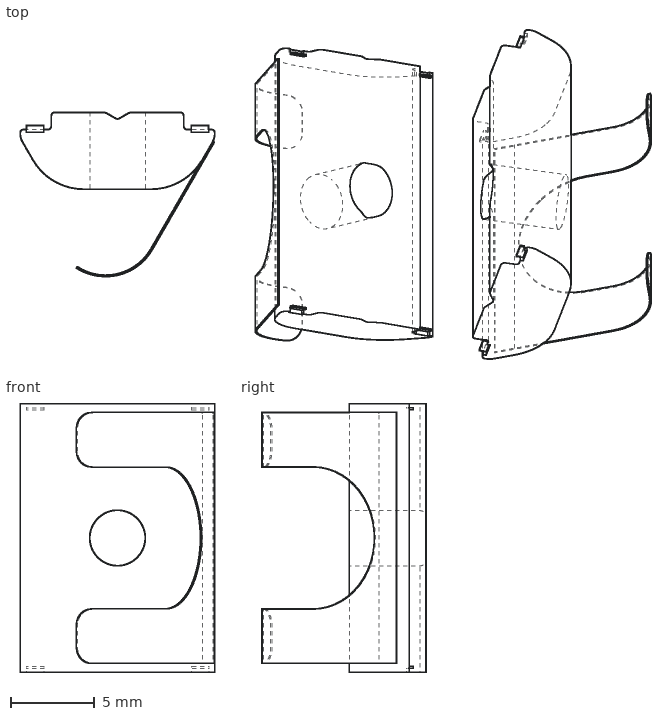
import cadquery as cq
import math

LENGTH = 16.0
WIDTH = 11.6
HALF_WIDTH = WIDTH / 2
DEPTH = 4.6
FLAT_HALF_WIDTH = 2.0
FLANK_ANGLE = math.radians(60)
FLANK_ARC_RADIUS = 3.52
EDGE_RADIUS = 0.2
FLANK_EDGE_RADIUS = 1.02

RIB_HALF_WIDTH = 3.95
SHOULDER_Y = -1.02
RIB_EDGE_RADIUS = 0.24
RIB_ROOT_RADIUS = 0.2
GROOVE_HALF_WIDTH = 0.74
GROOVE_DEPTH = GROOVE_HALF_WIDTH * math.tan(math.radians(30))
GROOVE_EDGE_RADIUS = 0.48
GROOVE_ROOT_RADIUS = 0.24

HOLE_DIAMETER = 3.3

TAB_INNER_X = 4.38
TAB_WIDTH = 1.04
TAB_BACK_Y = -0.78
TAB_HEIGHT = 0.42
TAB_THICKNESS = 0.1
TAB_END_GAP = 0.25

SHEET = 0.1
SPRING_MARGIN = 0.53
ARM_WIDTH = 3.25
SPRING_TOP_Y = -1.75
SPRING_BOTTOM_Y = -9.8
CURL_RADIUS = 3.2
CURL_TIP_ANGLE = math.radians(237)
ARM_TIP_RADIUS = 1.0
GAP_START_DROP = 0.24

DOWN = cq.Vector(-math.cos(FLANK_ANGLE), -math.sin(FLANK_ANGLE))
OUT = cq.Vector(math.sin(FLANK_ANGLE), -math.cos(FLANK_ANGLE))

FLANK_END = cq.Vector(
    FLAT_HALF_WIDTH + FLANK_ARC_RADIUS * math.sin(FLANK_ANGLE),
    -DEPTH + FLANK_ARC_RADIUS * (1 - math.cos(FLANK_ANGLE)),
)


def extrude_full(outline, height):
    return outline.extrude(height / 2, both=True)


def flank_at_y(y):
    """Point on the extended +X flank at the given Y."""
    return FLANK_END + DOWN * ((FLANK_END.y - y) / math.sin(FLANK_ANGLE))


def flank_at_x(x):
    """Point on the extended +X flank at the given X."""
    return FLANK_END + DOWN * ((FLANK_END.x - x) / math.cos(FLANK_ANGLE))


def fillet_upright(body, x, y, radius):
    """Round the upright edge at (x, y) and its mirror image across X = 0."""
    for side in sorted({x, -x}):
        picker = cq.selectors.BoxSelector(
            (side - 0.02, y - 0.02, -LENGTH), (side + 0.02, y + 0.02, LENGTH)
        )
        body = body.edges("|Z").edges(picker).fillet(radius)
    return body


def make_block():
    corner = flank_at_x(HALF_WIDTH)
    half_arc = FLANK_ANGLE / 2
    arc_mid_x = FLAT_HALF_WIDTH + FLANK_ARC_RADIUS * math.sin(half_arc)
    arc_mid_y = -DEPTH + FLANK_ARC_RADIUS * (1 - math.cos(half_arc))
    outline = (
        cq.Workplane("XY")
        .moveTo(0, -GROOVE_DEPTH)
        .lineTo(GROOVE_HALF_WIDTH, 0)
        .lineTo(RIB_HALF_WIDTH, 0)
        .lineTo(RIB_HALF_WIDTH, SHOULDER_Y)
        .lineTo(HALF_WIDTH, SHOULDER_Y)
        .lineTo(corner.x, corner.y)
        .lineTo(FLANK_END.x, FLANK_END.y)
        .threePointArc((arc_mid_x, arc_mid_y), (FLAT_HALF_WIDTH, -DEPTH))
        .lineTo(0, -DEPTH)
        .mirrorY()
    )
    body = extrude_full(outline, LENGTH)
    rounded_edges = [
        (0, -GROOVE_DEPTH, GROOVE_ROOT_RADIUS),
        (GROOVE_HALF_WIDTH, 0, GROOVE_EDGE_RADIUS),
        (RIB_HALF_WIDTH, 0, RIB_EDGE_RADIUS),
        (RIB_HALF_WIDTH, SHOULDER_Y, RIB_ROOT_RADIUS),
        (HALF_WIDTH, SHOULDER_Y, EDGE_RADIUS),
        (HALF_WIDTH, corner.y, FLANK_EDGE_RADIUS),
    ]
    for x, y, radius in rounded_edges:
        body = fillet_upright(body, x, y, radius)
    hole = extrude_full(cq.Workplane("XZ").circle(HOLE_DIAMETER / 2), 2 * DEPTH)
    return body.cut(hole)


def add_tabs(body):
    """Cut a notch into each shoulder end and leave a thin tab on its floor."""
    center_y = TAB_BACK_Y - TAB_HEIGHT / 2
    tab_z = (LENGTH - TAB_THICKNESS) / 2 - TAB_END_GAP
    notch_z = (LENGTH - TAB_END_GAP) / 2
    for side in (-1, 1):
        center_x = side * (TAB_INNER_X + TAB_WIDTH / 2)
        for end in (-1, 1):
            notch = cq.Workplane("XY").box(TAB_WIDTH, TAB_HEIGHT, TAB_END_GAP)
            tab = cq.Workplane("XY").box(TAB_WIDTH, TAB_HEIGHT, TAB_THICKNESS)
            body = body.cut(notch.translate((center_x, center_y, end * notch_z)))
            body = body.union(tab.translate((center_x, center_y, end * tab_z)))
    return body


def tip_corner_cutter(corner, inward, across):
    """Stock outside a quarter circle tangent to both edges of an arm's corner."""
    plane = cq.Plane(origin=corner, xDir=inward, normal=inward.cross(across))
    arc_mid = ARM_TIP_RADIUS * (1 - math.sqrt(0.5))
    outline = (
        cq.Workplane(plane)
        .lineTo(ARM_TIP_RADIUS, 0)
        .threePointArc((arc_mid, arc_mid), (0, ARM_TIP_RADIUS))
        .close()
    )
    return extrude_full(outline, 8 * SHEET)


def make_spring():
    height = LENGTH - 2 * SPRING_MARGIN
    inner_radius = CURL_RADIUS - SHEET
    center_y = SPRING_BOTTOM_Y + CURL_RADIUS
    curl_start = flank_at_y(center_y + inner_radius * OUT.y)
    center = curl_start - OUT * inner_radius
    start_angle = FLANK_ANGLE - math.pi / 2
    tip_angle = CURL_TIP_ANGLE - 2 * math.pi
    mid_angle = (start_angle + tip_angle) / 2

    def on_curl(radius, angle):
        point = center + cq.Vector(math.cos(angle), math.sin(angle)) * radius
        return (point.x, point.y)

    top = flank_at_y(SPRING_TOP_Y)
    outer_top = top + OUT * SHEET
    outline = (
        cq.Workplane("XY")
        .moveTo(top.x, top.y)
        .lineTo(outer_top.x, outer_top.y)
        .lineTo(*on_curl(CURL_RADIUS, start_angle))
        .threePointArc(on_curl(CURL_RADIUS, mid_angle), on_curl(CURL_RADIUS, tip_angle))
        .lineTo(*on_curl(inner_radius, tip_angle))
        .threePointArc(on_curl(inner_radius, mid_angle), on_curl(inner_radius, start_angle))
        .close()
    )
    sheet = extrude_full(outline, height)

    gap_radius = height / 2 - ARM_WIDTH
    gap_end = FLANK_END + DOWN * GAP_START_DROP
    gap_center = gap_end + DOWN * gap_radius
    gap_length = 2 * CURL_RADIUS + gap_radius
    cut_reach = 3 * CURL_RADIUS
    gap_plane = cq.Plane(origin=gap_center, xDir=DOWN, normal=OUT)
    round_end = extrude_full(cq.Workplane(gap_plane).circle(gap_radius), SHEET * 4)
    straight = (
        cq.Workplane(gap_plane)
        .center(gap_length / 2, 0)
        .rect(gap_length, 2 * gap_radius)
    )
    straight = extrude_full(straight, 2 * cut_reach)
    sheet = sheet.cut(round_end).cut(straight)

    inward = cq.Vector(-math.sin(tip_angle), math.cos(tip_angle))
    radial = cq.Vector(math.cos(tip_angle), math.sin(tip_angle))
    tip = center + radial * CURL_RADIUS
    for edge_z in (height / 2, height / 2 - ARM_WIDTH):
        into_arm = 1 if edge_z < height / 2 - ARM_WIDTH / 2 else -1
        for half in (-1, 1):
            corner = cq.Vector(tip.x, tip.y, half * edge_z)
            across = cq.Vector(0, 0, half * into_arm)
            sheet = sheet.cut(tip_corner_cutter(corner, inward, across))
    return sheet


result = add_tabs(make_block()).union(make_spring())